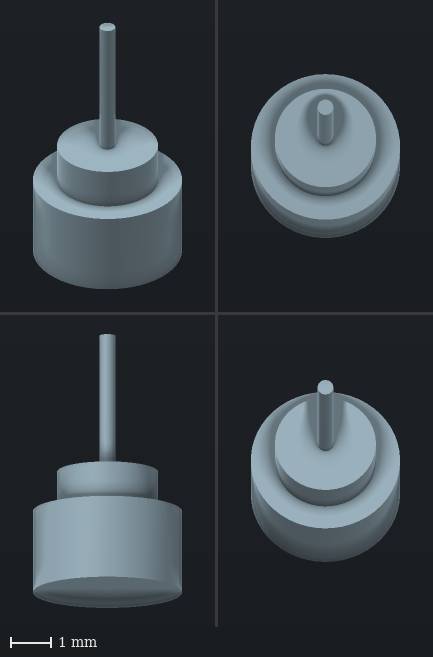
import cadquery as cq

total_height = 6.5
base_diameter = 3.7
base_height = 2.05
collar_diameter = 2.5
collar_height = 1.0
pin_diameter = 0.39

base_radius = base_diameter / 2
collar_radius = collar_diameter / 2
pin_radius = pin_diameter / 2
collar_top = base_height + collar_height

half_section = [
    (0, 0),
    (-base_radius, 0),
    (-base_radius, base_height),
    (-collar_radius, base_height),
    (-collar_radius, collar_top),
    (-pin_radius, collar_top),
    (-pin_radius, total_height),
    (0, total_height),
]

result = (
    cq.Workplane("XZ")
    .polyline(half_section)
    .close()
    .revolve(360, (0, 0), (0, 1))
)